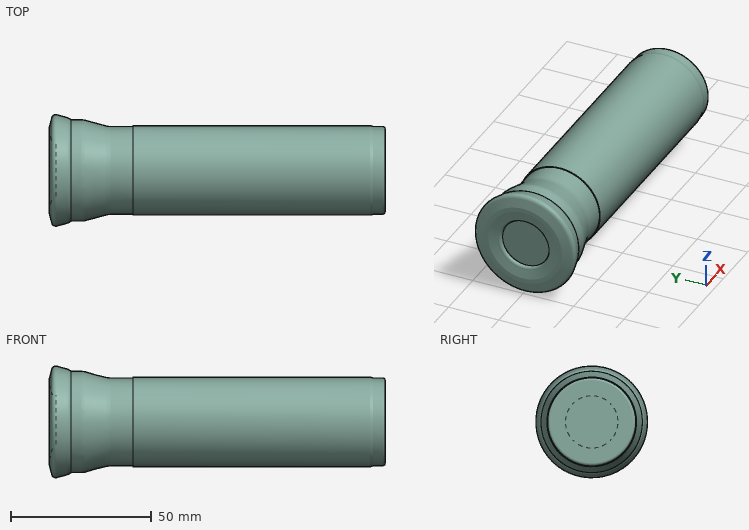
import cadquery as cq
import math

TOTAL_LENGTH = 120.0

HEAD_LENGTH = 30.0
RIM_RADIUS = 40.0 / 2
RIM_BACK_X = 6.2
RIM_BACK_RADIUS = 19.0
COLLAR_RADIUS = 36.2 / 2
COLLAR_START_X = 7.8
COLLAR_END_X = 12.2
TAPER_END_X = 21.1
NECK_RADIUS = 31.5 / 2
COLLAR_BLEND = 4.1
NECK_BLEND = 6.0

FACE_ANGLE = math.radians(14.5)
FACE_SLOPE = math.tan(FACE_ANGLE)
FACE_OUTER_RADIUS = 18.8
LAND_OUTER_RADIUS = 15.5
LAND_INNER_RADIUS = 13.8
DISH_INNER_RADIUS = 10.5
RECESS_RADIUS = 9.4
RECESS_DEPTH = 2.4

BARREL_RADIUS = 32.0 / 2
BARREL_TAPER_START_X = 114.7
BARREL_TAPER_LENGTH = 1.1
END_ROUND = 1.0


def revolve_about_x(profile):
    """Turn a closed (x, radius) profile fully about the X axis."""
    return profile.close().revolve(360, (0, 0, 0), (1, 0, 0))


def edges_at(body, x, radius):
    """Select the circular edge of the given radius at position x."""
    margin = 0.06
    selector = cq.selectors.BoxSelector(
        (x - margin, -radius - margin, -radius - margin),
        (x + margin, radius + margin, radius + margin),
        boundingbox=True,
    )
    return body.edges(selector)


def make_head():
    face_edge_x = (FACE_OUTER_RADIUS - LAND_OUTER_RADIUS) * FACE_SLOPE
    dish_depth = (LAND_INNER_RADIUS - DISH_INNER_RADIUS) * FACE_SLOPE
    lip_depth = dish_depth + DISH_INNER_RADIUS - RECESS_RADIUS
    rim_round = (RIM_RADIUS - FACE_OUTER_RADIUS) / (1 - math.sin(FACE_ANGLE))
    rim_end_x = face_edge_x + rim_round * (math.cos(FACE_ANGLE) + math.sin(FACE_ANGLE))
    rim_end_radius = RIM_RADIUS - rim_round * (1 - math.cos(FACE_ANGLE))
    profile = (
        cq.Workplane("XY")
        .moveTo(RECESS_DEPTH, 0)
        .lineTo(RECESS_DEPTH, RECESS_RADIUS)
        .lineTo(lip_depth, RECESS_RADIUS)
        .tangentArcPoint((dish_depth, DISH_INNER_RADIUS), relative=False)
        .lineTo(0, LAND_INNER_RADIUS)
        .lineTo(0, LAND_OUTER_RADIUS)
        .lineTo(face_edge_x, FACE_OUTER_RADIUS)
        .tangentArcPoint((rim_end_x, rim_end_radius), relative=False)
        .lineTo(RIM_BACK_X, RIM_BACK_RADIUS)
        .tangentArcPoint((COLLAR_START_X, COLLAR_RADIUS), relative=False)
        .lineTo(COLLAR_END_X, COLLAR_RADIUS)
        .lineTo(TAPER_END_X, NECK_RADIUS)
        .lineTo(HEAD_LENGTH, NECK_RADIUS)
        .lineTo(HEAD_LENGTH, 0)
    )
    head = revolve_about_x(profile)
    head = edges_at(head, COLLAR_END_X, COLLAR_RADIUS).fillet(COLLAR_BLEND)
    return edges_at(head, TAPER_END_X, NECK_RADIUS).fillet(NECK_BLEND)


def make_barrel():
    profile = (
        cq.Workplane("XY")
        .moveTo(HEAD_LENGTH, 0)
        .lineTo(HEAD_LENGTH, BARREL_RADIUS)
        .lineTo(BARREL_TAPER_START_X, BARREL_RADIUS)
        .lineTo(BARREL_TAPER_START_X + BARREL_TAPER_LENGTH, NECK_RADIUS)
        .lineTo(TOTAL_LENGTH, NECK_RADIUS)
        .lineTo(TOTAL_LENGTH, 0)
    )
    return revolve_about_x(profile).faces(">X").edges().fillet(END_ROUND)


head = make_head()
barrel = make_barrel()

result = cq.Compound.makeCompound([head.val(), barrel.val()])